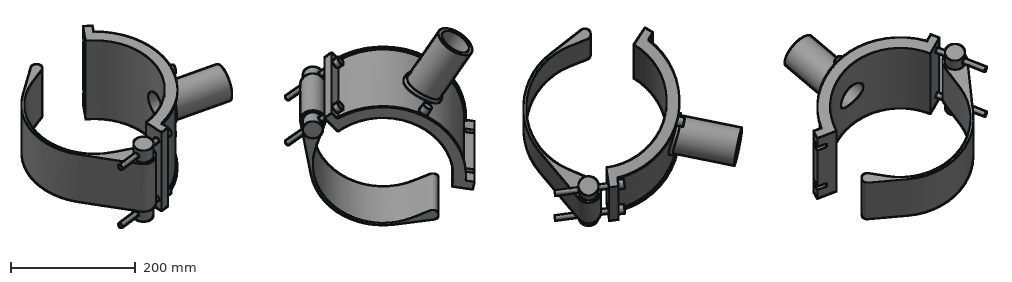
import cadquery as cq
import math

bore_radius = 112.5
shell_radius = 130.0
rim_radius = 133.2
rim_height = 3.5
saddle_height = 176.0
flange_angle = 20.0
flange_tip_radius = 146.5
flange_thickness = 15.5
slot_width = 10.0
slot_depth = 17.5
slot_z = 57.5

pipe_diameter = 63.0
pipe_bore = 50.5
pipe_end_y = 232.0
collar_diameter = 69.2
collar_radius = 135.5
collar_fillet = 1.92
stud_base_diameter = 16.8
stud_tip_diameter = 15.0
stud_base_y = 129.5
stud_end_y = 143.5
stud_z = 70.3

bolt_diameter = 9.5
bolt_radius = 136.7
bolt_z = 65.0
bolt_length_below_flange = 86.7
head_diameter = 15.7
head_height = 10.5

strap_thickness = 5.0
strap_height = 106.3
hinge_drop = 32.0
hinge_radius = 20.3
trunnion_diameter = 32.5
trunnion_length = 159.0
tip_x = -117.8
tip_y = -44.0
tip_radius = 9.5

strap_radius = bore_radius + strap_thickness
flange_angle_rad = math.radians(flange_angle)


def polar(radius, angle, center=(0, 0)):
    return (center[0] + radius * math.cos(angle), center[1] + radius * math.sin(angle))


def flange_point(radius, rise):
    """Point at a distance along the right flange face and a rise square to it."""
    return polar(rise, flange_angle_rad + math.pi / 2, polar(radius, flange_angle_rad))


def prism(sketch, height):
    """Extrude a sketch on XY, centred on z = 0."""
    return sketch.extrude(height / 2, both=True)


def disc(radius, height, center=(0, 0)):
    return prism(cq.Workplane("XY").center(*center).circle(radius), height)


def cylinder(diameter, start, direction, length):
    return cq.Workplane(cq.Solid.makeCylinder(diameter / 2, length, cq.Vector(*start), cq.Vector(*direction)))


def branch_cylinder(diameter, end_y):
    """Cylinder along +Y, from the Z axis to end_y."""
    return cylinder(diameter, (0, 0, 0), (0, 1, 0), end_y)


def bolt_cylinder(diameter, start_rise, length, z):
    """Cylinder on a bolt axis, with rise measured from the flange's end face."""
    direction = (-math.sin(flange_angle_rad), math.cos(flange_angle_rad), 0)
    return cylinder(diameter, (*flange_point(bolt_radius, start_rise), z), direction, length)


def shell_sector(radius):
    """Solid sector between the two flange end faces, before it is bored."""
    right = polar(radius, flange_angle_rad)
    sketch = (
        cq.Workplane("XY")
        .moveTo(0, 0)
        .lineTo(*right)
        .threePointArc((0, radius), (-right[0], right[1]))
        .close()
    )
    return prism(sketch, saddle_height)


def make_flange():
    """Right-hand flange, reaching inward into the shell."""
    middle_radius = (bore_radius + shell_radius) / 2
    corners = [
        flange_point(middle_radius, 0),
        flange_point(flange_tip_radius, 0),
        flange_point(flange_tip_radius, flange_thickness),
        flange_point(middle_radius, flange_thickness),
    ]
    return prism(cq.Workplane("XY").polyline(corners).close(), saddle_height)


def make_slot(z):
    """Round-ended slot, open at the tip of the left-hand flange."""
    end_radius = flange_tip_radius - slot_depth + slot_width / 2
    slot = (
        cq.Workplane("XZ")
        .center(end_radius, z)
        .circle(slot_width / 2)
        .extrude(-flange_thickness)
    )
    mouth = cq.Workplane("XY").box(
        slot_depth, flange_thickness, slot_width, centered=(False, False, True)
    ).translate((end_radius, 0, z))
    slot = slot.union(mouth).rotate((0, 0, 0), (0, 0, 1), flange_angle)
    return slot.mirror("YZ")


def make_collar():
    """Collar round the pipe, with a rounded edge on its curved outer face."""
    collar = branch_cylinder(collar_diameter, pipe_end_y).intersect(disc(collar_radius, saddle_height))
    return collar.faces(">Y").edges().fillet(collar_fillet)


def make_stud(z):
    """Tapered stud on the saddle's crown, rooted inside the shell."""
    return cq.Workplane(
        cq.Solid.makeCone(
            stud_base_diameter / 2,
            stud_tip_diameter / 2,
            stud_end_y - stud_base_y,
            cq.Vector(0, stud_base_y, z),
            cq.Vector(0, 1, 0),
        )
    )


def make_saddle():
    groove_height = saddle_height - 2 * rim_height
    groove = disc(flange_tip_radius, groove_height).cut(disc(shell_radius, groove_height))
    saddle = shell_sector(rim_radius).cut(groove)
    flange = make_flange()
    saddle = saddle.union(flange).union(flange.mirror("YZ"))
    saddle = saddle.union(branch_cylinder(pipe_diameter, pipe_end_y))
    saddle = saddle.union(make_collar())
    for side in (-1, 1):
        saddle = saddle.union(make_stud(side * stud_z))
    saddle = saddle.cut(disc(bore_radius, saddle_height)).cut(branch_cylinder(pipe_bore, pipe_end_y))
    for side in (-1, 1):
        saddle = saddle.cut(make_slot(side * slot_z))
        saddle = saddle.cut(bolt_cylinder(bolt_diameter, 0, flange_thickness, side * bolt_z))
        saddle = saddle.cut(bolt_cylinder(head_diameter, flange_thickness, head_height, side * bolt_z))
    return saddle


def make_bolt(z):
    shank = bolt_cylinder(
        bolt_diameter, -bolt_length_below_flange, bolt_length_below_flange + flange_thickness, z
    )
    return shank.union(bolt_cylinder(head_diameter, flange_thickness, head_height, z))


def make_strap():
    """Strap whose straight flanks are tangent to the band, the hinge boss and the rounded tip."""
    hinge = flange_point(bolt_radius, -hinge_drop)
    tip = (tip_x, tip_y)
    hinge_distance = math.hypot(*hinge)
    tip_distance = math.hypot(*tip)
    hinge_angle = math.atan2(hinge[1], hinge[0])
    tip_angle = math.atan2(tip[1], tip[0])

    hinge_inner = hinge_angle - math.acos((bore_radius + hinge_radius) / hinge_distance)
    hinge_outer = hinge_angle - math.acos((strap_radius - hinge_radius) / hinge_distance)
    tip_inner = tip_angle + math.acos((bore_radius + tip_radius) / tip_distance)
    tip_outer = tip_angle + math.acos((strap_radius - tip_radius) / tip_distance)

    bottom = -math.pi / 2
    sketch = (
        cq.Workplane("XY")
        .moveTo(*polar(bore_radius, tip_inner))
        .threePointArc(polar(bore_radius, bottom), polar(bore_radius, hinge_inner))
        .lineTo(*polar(-hinge_radius, hinge_inner, hinge))
        .threePointArc(polar(hinge_radius, hinge_angle, hinge), polar(hinge_radius, hinge_outer, hinge))
        .lineTo(*polar(strap_radius, hinge_outer))
        .threePointArc(polar(strap_radius, bottom), polar(strap_radius, tip_outer))
        .lineTo(*polar(tip_radius, tip_outer, tip))
        .threePointArc(polar(tip_radius, tip_angle, tip), polar(-tip_radius, tip_inner, tip))
        .close()
    )
    strap = prism(sketch, strap_height)
    strap = strap.union(disc(trunnion_diameter / 2, trunnion_length, hinge))
    for side in (-1, 1):
        strap = strap.cut(
            bolt_cylinder(bolt_diameter, -bolt_length_below_flange, bolt_length_below_flange, side * bolt_z)
        )
    return strap


saddle = make_saddle()
strap = make_strap()
bolts = [make_bolt(side * bolt_z) for side in (-1, 1)]

result = cq.Compound.makeCompound([saddle.val(), strap.val(), *[bolt.val() for bolt in bolts]])